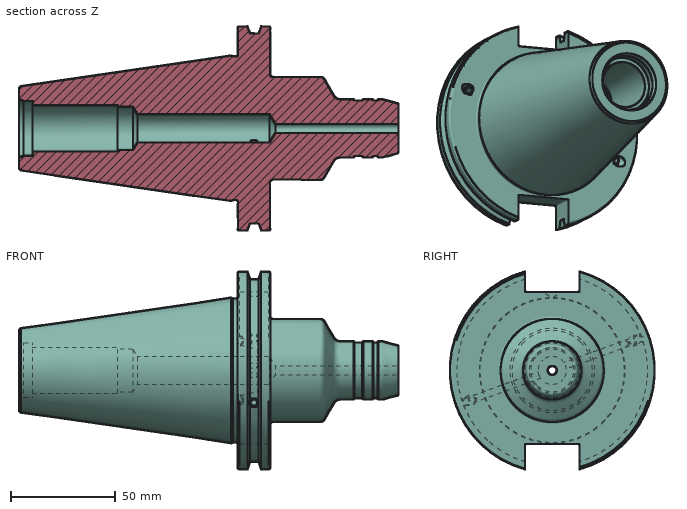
import cadquery as cq
import math


total_length = 182.1
gauge_x = 101.6
gauge_radius = 35.0
taper_ratio = 7 / 24
small_radius = gauge_radius - gauge_x * taper_ratio / 2
small_end_chamfer = 1.0

relief_radius = 34.6
relief_x = 102.7
relief_fillet = 0.5

flange_x = 104.9
flange_width = 15.7
flange_end_x = flange_x + flange_width
flange_radius = 49.2
flange_rim_fillet = 1.0

groove_x = 112.9
groove_floor_radius = 45.7
groove_floor_half_width = 2.0
groove_mouth_half_width = 3.3

body_radius = 24.8
body_root_fillet = 1.1
shoulder_x = 145.9
shoulder_angle = math.radians(60)
shoulder_outer_fillet = 2.5
shoulder_root_fillet = 3.3
spigot_radius = 14.0
spigot_x = shoulder_x + (body_radius - spigot_radius) / math.tan(shoulder_angle)

ring_floor_radius = 13.5
ring_spans = [(160.5, 165.2), (169.5, 172.5)]
tip_taper_x = 174.5
tip_taper_angle = math.radians(15)
tip_radius = spigot_radius - (total_length - tip_taper_x) * math.tan(tip_taper_angle)
tip_fillet = 1.1

drill_half_angle = math.radians(59)

bore_mouth_radius = 14.0
pilot_radius = 13.1
bore_mouth_depth = 2.2
pilot_depth = 6.5
thread_radius = 22.0 / 2
thread_depth = 47.3
tap_drill_radius = 20.5 / 2
tap_drill_depth = 54.6
feed_radius = 6.7
feed_depth = 120.2
through_radius = 4.2 / 2

slot_width = 26.0
slot_floor_fillet = 0.5
top_slot_z = 37.7
bottom_slot_z = -35.3

dimple_radius = 5.0

coolant_angle = 20
cross_hole_x = 112.7
drilling_radius = 1.6
cross_hole_mouth_radius = 4.2 / 2
cross_hole_mouth_depth = 0.5
outlet_centre_radius = 41.9
outlet_tilt = math.radians(40)
outlet_mouth_radius = 5.0 / 2
outlet_mouth_depth = 1.6

AXIS_START = (0, 0, 0)
AXIS_END = (1, 0, 0)


def revolve_about_x(points):
    """Turn a closed (x, radius) outline about the X axis."""
    return cq.Workplane("XY").polyline(points).close().revolve(360, AXIS_START, AXIS_END)


def round_edge(solid, x, radius, fillet):
    """Fillet the circular edge found at the given x and radius."""
    margin = 0.02
    corner = radius + margin
    box = cq.selectors.BoxSelector(
        (x - margin, -corner, -corner), (x + margin, corner, corner), boundingbox=True
    )
    return solid.edges(box).edges(cq.selectors.RadiusNthSelector(-1)).fillet(fillet)


def turned_body():
    outline = [
        (0, 0),
        (0, small_radius - small_end_chamfer),
        (small_end_chamfer, small_radius + small_end_chamfer * taper_ratio / 2),
        (gauge_x, gauge_radius),
        (relief_x, relief_radius),
        (flange_x, relief_radius),
        (flange_x, flange_radius),
        (groove_x - groove_mouth_half_width, flange_radius),
        (groove_x - groove_floor_half_width, groove_floor_radius),
        (groove_x + groove_floor_half_width, groove_floor_radius),
        (groove_x + groove_mouth_half_width, flange_radius),
        (flange_end_x, flange_radius),
        (flange_end_x, body_radius),
        (shoulder_x, body_radius),
        (spigot_x, spigot_radius),
    ]
    ring_depth = spigot_radius - ring_floor_radius
    for start, end in ring_spans:
        outline += [
            (start, spigot_radius),
            (start + ring_depth, ring_floor_radius),
            (end - ring_depth, ring_floor_radius),
            (end, spigot_radius),
        ]
    outline += [
        (tip_taper_x, spigot_radius),
        (total_length, tip_radius),
        (total_length, 0),
    ]
    body = revolve_about_x(outline)
    body = round_edge(body, flange_x, relief_radius, relief_fillet)
    for face_x in (flange_x, flange_end_x):
        body = round_edge(body, face_x, flange_radius, flange_rim_fillet)
    body = round_edge(body, flange_end_x, body_radius, body_root_fillet)
    body = round_edge(body, shoulder_x, body_radius, shoulder_outer_fillet)
    body = round_edge(body, spigot_x, spigot_radius, shoulder_root_fillet)
    return round_edge(body, total_length, tip_radius, tip_fillet)


def central_bore():
    tap_drill_tip = (tap_drill_radius - feed_radius) / math.tan(drill_half_angle)
    feed_tip = (feed_radius - through_radius) / math.tan(drill_half_angle)
    return revolve_about_x([
        (0, 0),
        (0, bore_mouth_radius),
        (bore_mouth_depth, pilot_radius),
        (pilot_depth, pilot_radius),
        (pilot_depth, thread_radius),
        (thread_depth, thread_radius),
        (thread_depth, tap_drill_radius),
        (tap_drill_depth, tap_drill_radius),
        (tap_drill_depth + tap_drill_tip, feed_radius),
        (feed_depth, feed_radius),
        (feed_depth + feed_tip, through_radius),
        (total_length, through_radius),
        (total_length, 0),
    ])


def drive_slot(floor_z):
    """Cutter running out through the flange rim from a flat floor."""
    rim_z = math.copysign(flange_radius, floor_z)
    height = abs(rim_z - floor_z)
    floor_side = "<Z" if floor_z > 0 else ">Z"
    slot = cq.Workplane("XY").box(flange_width, slot_width, height)
    slot = slot.faces(floor_side).edges("|X").fillet(slot_floor_fillet)
    return slot.translate((flange_x + flange_width / 2, 0, (floor_z + rim_z) / 2))


def dimple():
    depth = dimple_radius / math.tan(drill_half_angle)
    return cq.Workplane(cq.Solid.makeCone(
        dimple_radius, 0, depth, cq.Vector(groove_x, 0, top_slot_z), cq.Vector(0, 0, -1)
    ))


def stepped_drilling(mouth_centre, direction, mouth_radius, mouth_depth, length):
    """Drilling with a wider mouth, started outside so that it cuts the surface fully."""
    overrun = mouth_radius
    mouth = cq.Solid.makeCylinder(
        mouth_radius,
        overrun + mouth_depth,
        mouth_centre - direction * overrun,
        direction,
    )
    drilling = cq.Solid.makeCylinder(drilling_radius, length, mouth_centre, direction)
    return cq.Workplane(mouth.fuse(drilling))


def coolant_passage():
    """Cross hole from the V groove to the bore, and the face outlet meeting it, along +Y."""
    cross_hole = stepped_drilling(
        cq.Vector(cross_hole_x, groove_floor_radius, 0),
        cq.Vector(0, -1, 0),
        cross_hole_mouth_radius,
        cross_hole_mouth_depth,
        groove_floor_radius,
    )
    outlet = stepped_drilling(
        cq.Vector(flange_x, outlet_centre_radius, 0),
        cq.Vector(math.cos(outlet_tilt), -math.sin(outlet_tilt), 0),
        outlet_mouth_radius,
        outlet_mouth_depth,
        (cross_hole_x - flange_x) / math.cos(outlet_tilt),
    )
    return cross_hole.union(outlet)


result = turned_body().cut(central_bore())
for slot_floor in (top_slot_z, bottom_slot_z):
    result = result.cut(drive_slot(slot_floor))
result = result.cut(dimple())
for side in (0, 180):
    result = result.cut(coolant_passage().rotate(AXIS_START, AXIS_END, coolant_angle + side))